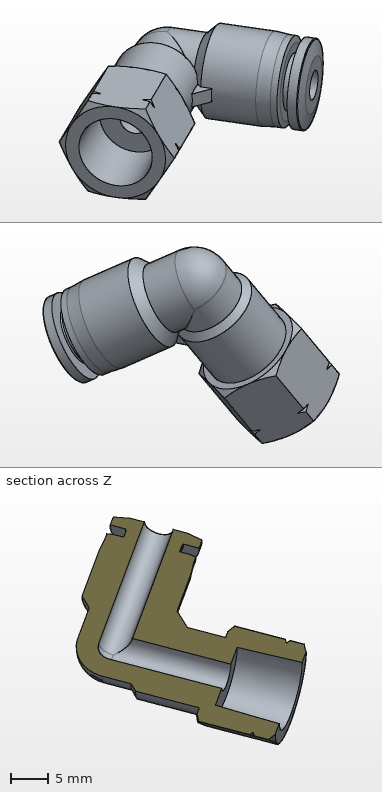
import cadquery as cq
import math

elbow_radius = 5.0
passage_radius = 2.02

neck_radius = 6.0
neck_chamfer = neck_radius - elbow_radius
neck_start = 4.03
nut_start = 13.92
neck_overlap = 0.3
nut_end = 25.0
nut_flats = 14.0
nut_corners = nut_flats / math.cos(math.radians(30))
chamfer_angle = 30
envelope_margin = 0.3
bore_mouth_radius = 5.15
bore_bottom_radius = 4.85
bore_depth = 9.07
groove_position = 22.05
groove_radius = 7.6
groove_half_width = 0.3

socket_start = 5.05
socket_radius = 6.5
shoulder_end = socket_start + socket_radius - elbow_radius
taper_start = 14.25
taper_end = 16.22
socket_end_radius = 6.3
socket_rim_end = 17.17
socket_end = 17.32
socket_face_radius = 5.35
collar_radius = 3.97
collar_flare_length = 0.22
collar_flare_rise = 0.13
flange_start = 18.6
flange_radius = 6.3
flange_rim_end = 19.9
flange_edge_chamfer = 0.13
flange_face_radius = 4.0
overall_width = 28.57
tip = overall_width - nut_corners / 2

web_thickness = 2.02
web_inner_x = 4.72
web_outer_x = nut_corners / 2
web_inner_y = -socket_radius - (web_outer_x - web_inner_x)


def along_y(profile):
    """Revolve closed (radius, distance towards -Y) points about the Y axis."""
    points = [(radius, -distance) for radius, distance in profile]
    return cq.Workplane("XY").polyline(points).close().revolve(360, (0, 0, 0), (0, 1, 0))


def make_nut():
    nut = (
        cq.Workplane("XZ", origin=(0, -nut_start, 0))
        .polygon(6, nut_corners)
        .extrude(nut_end - nut_start)
    )
    end_radius = nut_flats / 2
    envelope_radius = nut_corners / 2 + envelope_margin
    rise = (envelope_radius - end_radius) * math.tan(math.radians(chamfer_angle))
    envelope = along_y([
        (0, nut_start),
        (end_radius, nut_start),
        (envelope_radius, nut_start + rise),
        (envelope_radius, nut_end - rise),
        (end_radius, nut_end),
        (0, nut_end),
    ])
    corner_radius = nut_corners / 2
    groove = along_y([
        (groove_radius, groove_position),
        (corner_radius, groove_position - groove_half_width),
        (corner_radius, groove_position + groove_half_width),
    ])
    return nut.intersect(envelope).cut(groove)


def make_threaded_leg():
    return along_y([
        (0, 0),
        (elbow_radius, 0),
        (elbow_radius, neck_start),
        (neck_radius, neck_start + neck_chamfer),
        (neck_radius, nut_start + neck_overlap),
        (0, nut_start + neck_overlap),
    ])


def make_socket_leg():
    profile = (
        cq.Workplane("XY")
        .lineTo(0, elbow_radius)
        .lineTo(socket_start, elbow_radius)
        .lineTo(shoulder_end, socket_radius)
        .lineTo(taper_start, socket_radius)
        .lineTo(taper_end, socket_end_radius)
        .lineTo(socket_rim_end, socket_end_radius)
        .lineTo(socket_end, socket_face_radius)
        .lineTo(socket_end, collar_radius)
        .lineTo(flange_start - collar_flare_length, collar_radius)
        .lineTo(flange_start, collar_radius + collar_flare_rise)
        .lineTo(flange_start, flange_radius)
        .lineTo(flange_rim_end, flange_radius)
        .lineTo(flange_rim_end + flange_edge_chamfer, flange_radius - flange_edge_chamfer)
        .lineTo(tip, flange_face_radius)
        .lineTo(tip, 0)
        .close()
    )
    return profile.revolve(360, (0, 0, 0), (1, 0, 0))


def make_web():
    """Flat rib with a 45 degree edge across the inside of the elbow."""
    return (
        cq.Workplane("XY")
        .polyline([
            (0, 0),
            (web_inner_x, web_inner_y),
            (web_outer_x, -socket_radius),
            (web_outer_x, 0),
        ])
        .close()
        .extrude(web_thickness / 2, both=True)
    )


def make_passage():
    nut_leg = cq.Workplane("XZ").circle(passage_radius).extrude(nut_end)
    socket_leg = cq.Workplane("YZ").circle(passage_radius).extrude(tip)
    corner = cq.Workplane("XY").sphere(passage_radius)
    thread_bore = along_y([
        (0, nut_end),
        (bore_mouth_radius, nut_end),
        (bore_bottom_radius, nut_end - bore_depth),
        (0, nut_end - bore_depth),
    ])
    return nut_leg.union(socket_leg).union(corner).union(thread_bore)


body = cq.Workplane("XY").sphere(elbow_radius)
for portion in (make_threaded_leg(), make_socket_leg(), make_nut(), make_web()):
    body = body.union(portion)
result = body.cut(make_passage())